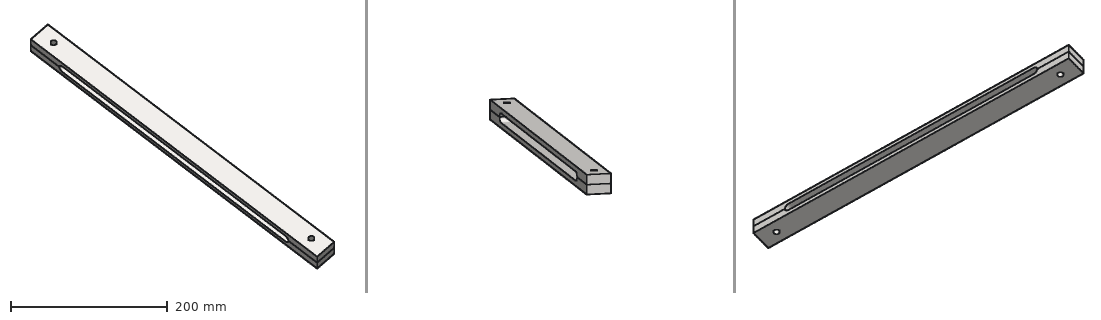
import cadquery as cq

length = 500.0
width = 32.0
height = 26.0
bar_height = height / 2

slot_length = 400.0
slot_height = 12.0

hole_diameter = 8.0
hole_spacing = 450.0


def slot_cutter():
    """Round-ended slot centred on the joint plane, passing through the width."""
    return (
        cq.Workplane("XZ")
        .slot2D(slot_length, slot_height)
        .extrude(width / 2, both=True)
    )


def hole_cutters():
    """Vertical bolt holes passing through both bars."""
    return (
        cq.Workplane("XY")
        .workplane(offset=-height / 2)
        .rarray(hole_spacing, 5, 2, 1)
        .circle(hole_diameter / 2)
        .extrude(height)
    )


def make_bar(side):
    """One bar: side is -1 below the joint plane and +1 above it."""
    blank = cq.Workplane("XY").box(length, width, bar_height)
    blank = blank.translate((0, 0, side * bar_height / 2))
    return blank.cut(slot_cutter()).cut(hole_cutters())


bars = [make_bar(side) for side in (-1, 1)]

result = cq.Compound.makeCompound([bar.val() for bar in bars])